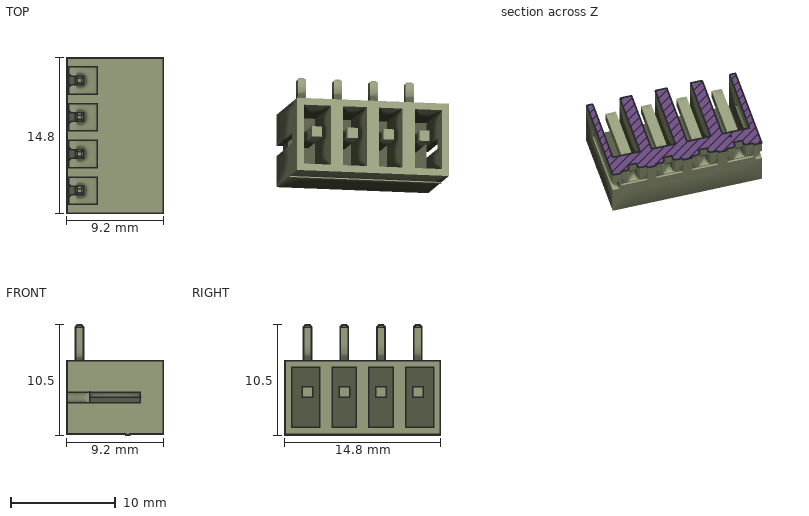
import cadquery as cq

body_depth = 9.2
body_length = 14.8
body_height = 7.0

pin_count = 4
pin_pitch = 3.5
pin_width = 0.8
pin_front_x = 0.8
pin_rise = 3.4
pin_bottom_z = 3.6
contact_size = 1.0
contact_end_x = 8.2
pin_outer_bend = 0.85
tip_chamfer = 0.2

recess_width = 2.6
recess_depth_x = 2.9
recess_front_step = 0.2
recess_top_step = 0.2
recess_floor_z = 3.4

channel_floor_z = 3.5
channel_mouth_chamfer = 0.2

side_wall = 0.65
floor_thickness = 0.65
roof_thickness = 0.65
cavity_back_x = 2.2
divider_width = 1.2

slot_depth = side_wall
slot_length = 7.0
slot_bottom_z = 3.0
slot_height = 1.0

rib_center_x = 5.8
rib_width = 0.4
rib_height = 0.1

y_max = body_length / 2
pin_positions = [(i - (pin_count - 1) / 2) * pin_pitch for i in range(pin_count)]


def box(x_range, y_range, z_range):
    """Axis-aligned box between the given limits."""
    (x0, x1), (y0, y1), (z0, z1) = x_range, y_range, z_range
    return cq.Workplane("XY").box(x1 - x0, y1 - y0, z1 - z0, centered=False).translate((x0, y0, z0))


def make_cavity():
    """Space of the socket compartments, with the dividers left out."""
    cavity_x = (cavity_back_x, body_depth)
    cavity_z = (floor_thickness, body_height - roof_thickness)
    cavity = box(cavity_x, (-y_max + side_wall, y_max - side_wall), cavity_z)
    for y in pin_positions[:-1]:
        middle_y = y + pin_pitch / 2
        divider_y = (middle_y - divider_width / 2, middle_y + divider_width / 2)
        cavity = cavity.cut(box(cavity_x, divider_y, cavity_z))
    return cavity


def make_housing():
    """Block with the socket cavity, a slot in each side and the bottom rib."""
    full_length = (-y_max, y_max)
    slot_x = (0, slot_length)
    slot_z = (slot_bottom_z, slot_bottom_z + slot_height)
    rib_x = (rib_center_x - rib_width / 2, rib_center_x + rib_width / 2)

    housing = box((0, body_depth), full_length, (0, body_height))
    housing = housing.union(box(rib_x, full_length, (-rib_height, 0)))
    housing = housing.cut(make_cavity())
    housing = housing.cut(box(slot_x, (-y_max, -y_max + slot_depth), slot_z))
    return housing.cut(box(slot_x, (y_max - slot_depth, y_max), slot_z))


def make_recess(y):
    """L-shaped recess over the front and top, with the pin channel behind it."""
    recess_y = (y - recess_width / 2, y + recess_width / 2)
    front = box((0, recess_front_step), recess_y, (recess_floor_z, body_height))
    top = box((0, recess_depth_x), recess_y, (body_height - recess_top_step, body_height))

    half_width = pin_width / 2
    half_mouth = half_width + channel_mouth_chamfer
    throat_x = recess_front_step + channel_mouth_chamfer
    back_x = pin_front_x + pin_width
    channel = (
        cq.Workplane("XY", origin=(0, y, channel_floor_z))
        .polyline([
            (recess_front_step, -half_mouth),
            (throat_x, -half_width),
            (back_x, -half_width),
            (back_x, half_width),
            (throat_x, half_width),
            (recess_front_step, half_mouth),
        ])
        .close()
        .extrude(body_height - channel_floor_z)
    )
    return front.union(top).union(channel)


def make_pin(y):
    """Square right-angle pin with a rounded bend and a chamfered upper tip."""
    half_width = pin_width / 2
    tip_z = body_height + pin_rise
    upright = box(
        (pin_front_x, pin_front_x + pin_width),
        (y - half_width, y + half_width),
        (pin_bottom_z, tip_z),
    ).faces(">Z").chamfer(tip_chamfer)
    leg = box(
        (pin_front_x, cavity_back_x),
        (y - half_width, y + half_width),
        (pin_bottom_z, pin_bottom_z + pin_width),
    )
    pin = upright.union(leg)
    return pin.edges("|Y").edges("<X and <Z").fillet(pin_outer_bend)


def make_contact(y):
    """Square contact on the leg axis, reaching from the cavity back toward the mouth."""
    half_size = contact_size / 2
    axis_z = pin_bottom_z + pin_width / 2
    return box(
        (cavity_back_x, contact_end_x),
        (y - half_size, y + half_size),
        (axis_z - half_size, axis_z + half_size),
    )


result = make_housing()
for pin_y in pin_positions:
    result = result.cut(make_recess(pin_y))
for pin_y in pin_positions:
    result = result.union(make_pin(pin_y)).union(make_contact(pin_y))